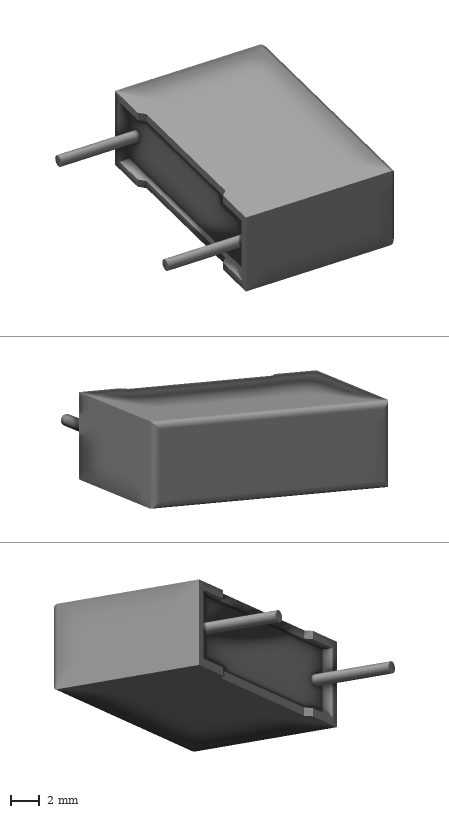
import cadquery as cq

case_width = 18.3
case_height = 6.2
overall_depth = 17.6
lead_reach = 5.5
case_depth = overall_depth - lead_reach
wall = 0.6
back_fillet = 0.5

notch_depth = 0.44
notch_mouth_width = 11.93
notch_floor_width = notch_mouth_width - 2 * notch_depth

filler_recess = 0.8
cavity_width = case_width - 2 * wall
cavity_height = case_height - 2 * wall
cavity_depth = case_depth - wall
filler_depth = cavity_depth - filler_recess

lead_diameter = 0.86
lead_spacing = 15.0
lead_length = lead_reach + filler_recess


def block(width, depth, height, front_y):
    """Box centred on X and Z, running toward +Y from front_y."""
    solid = cq.Workplane("XY").box(width, depth, height, centered=(True, False, True))
    return solid.translate((0, front_y, 0))


def make_rim_notch():
    """Trapezoidal prism that passes through the case along Z."""
    return (
        cq.Workplane("XY")
        .moveTo(-notch_mouth_width / 2, 0)
        .lineTo(-notch_floor_width / 2, notch_depth)
        .lineTo(notch_floor_width / 2, notch_depth)
        .lineTo(notch_mouth_width / 2, 0)
        .close()
        .extrude(case_height / 2, both=True)
    )


def make_case():
    """Open box with rounded back edges, a cavity and a notched rim at Y = 0."""
    shell = block(case_width, case_depth, case_height, 0)
    shell = shell.faces(">Y").edges().fillet(back_fillet)
    cavity = block(cavity_width, cavity_depth, cavity_height, 0)
    return shell.cut(cavity).cut(make_rim_notch())


def make_filler():
    """Block that fills the cavity behind the recess."""
    return block(cavity_width, filler_depth, cavity_height, filler_recess)


def make_lead(x):
    """Round wire running from the filler face toward -Y."""
    return (
        cq.Workplane("XZ", origin=(x, filler_recess, 0))
        .circle(lead_diameter / 2)
        .extrude(lead_length)
    )


case = make_case()
filler = make_filler()
leads = [make_lead(side * lead_spacing / 2) for side in (-1, 1)]

result = cq.Compound.makeCompound([case.val(), filler.val(), *[lead.val() for lead in leads]])